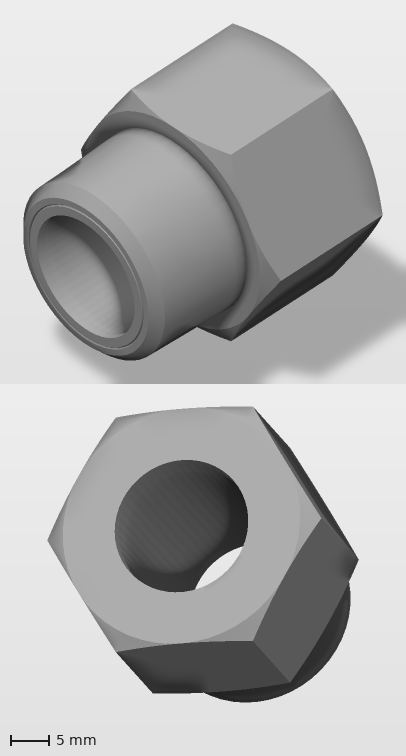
import cadquery as cq
import math

total_length = 37.5
spigot_length = 16.0

hex_sides = 6
across_flats = 32.0
across_corners = across_flats / math.cos(math.pi / hex_sides)
hex_chamfer_angle = 30.0

spigot_base_radius = 13.53
spigot_tip_radius = 13.08
spigot_chamfer = 1.5

bore_radius = 9.0
groove_outer_radius = 10.65
groove_inner_radius = 10.35
groove_depth = 0.2


def revolve_about_y(points):
    """Revolve a closed (radius, y) outline about the Y axis."""
    return cq.Workplane("XY").polyline(points).close().revolve(360, (0, 0, 0), (0, 1, 0))


def make_hexagon():
    """Hexagonal body with flats facing +Z and -Z, corners chamfered at both ends."""
    prism = (
        cq.Workplane("XZ", origin=(0, spigot_length, 0))
        .polygon(hex_sides, across_corners)
        .extrude(spigot_length - total_length)
    )
    flat_radius = across_flats / 2
    corner_radius = across_corners / 2
    chamfer_length = (corner_radius - flat_radius) * math.tan(math.radians(hex_chamfer_angle))
    envelope = revolve_about_y([
        (0, spigot_length),
        (flat_radius, spigot_length),
        (corner_radius, spigot_length + chamfer_length),
        (corner_radius, total_length - chamfer_length),
        (flat_radius, total_length),
        (0, total_length),
    ])
    return prism.intersect(envelope)


def make_spigot():
    """Tapered round spigot with a chamfered tip."""
    return revolve_about_y([
        (0, 0),
        (spigot_tip_radius - spigot_chamfer, 0),
        (spigot_tip_radius, spigot_chamfer),
        (spigot_base_radius, spigot_length),
        (0, spigot_length),
    ])


def make_bore():
    """Cylinder removed along the full length."""
    return cq.Workplane("XZ").circle(bore_radius).extrude(-total_length)


def make_end_groove():
    """V-shaped ring removed from the spigot end face."""
    groove_middle_radius = (groove_outer_radius + groove_inner_radius) / 2
    return revolve_about_y([
        (groove_inner_radius, 0),
        (groove_middle_radius, groove_depth),
        (groove_outer_radius, 0),
    ])


body = make_hexagon().union(make_spigot())
result = body.cut(make_bore()).cut(make_end_groove())